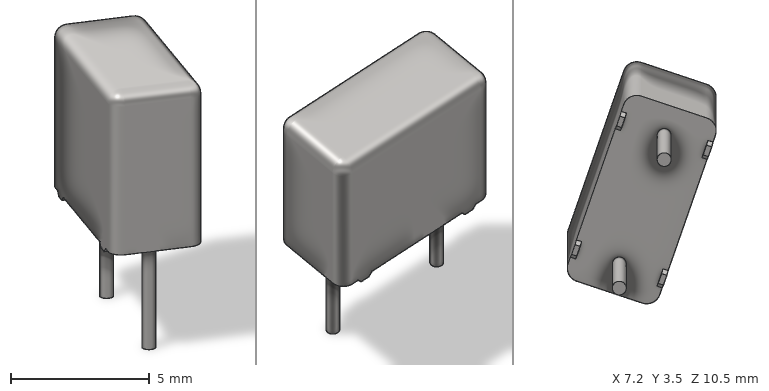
import cadquery as cq

total_height = 10.5
case_length = 7.2
case_width = 3.5
case_height = 6.3
edge_radius = 0.5
lead_diameter = 0.5
lead_pitch = 5.0
foot_top_length = 0.67
foot_bottom_length = 0.38
foot_height = 0.18
foot_depth = 0.2

lead_length = total_height - case_height
lead_positions = [-lead_pitch / 2, lead_pitch / 2]


def make_foot(x, side):
    """Tapered standoff foot, flush with the -Y (side = -1) or +Y (side = 1) face of the case."""
    outer_y = side * case_width / 2
    return (
        cq.Workplane("XZ", origin=(x, outer_y, 0))
        .moveTo(-foot_top_length / 2, 0)
        .lineTo(foot_top_length / 2, 0)
        .lineTo(foot_bottom_length / 2, -foot_height)
        .lineTo(-foot_bottom_length / 2, -foot_height)
        .close()
        .extrude(side * foot_depth)
    )


def make_case():
    """Block with rounded upright and top edges, standing on four small feet."""
    case = (
        cq.Workplane("XY")
        .box(case_length, case_width, case_height, centered=(True, True, False))
        .edges("|Z or >Z")
        .fillet(edge_radius)
    )
    for x in lead_positions:
        for side in (-1, 1):
            case = case.union(make_foot(x, side), clean=False)
    return case.solids()


def make_lead(x):
    """Round wire hanging from the underside of the case."""
    return (
        cq.Workplane("XY", origin=(x, 0, 0))
        .circle(lead_diameter / 2)
        .extrude(-lead_length)
    )


case = make_case()
leads = [make_lead(x) for x in lead_positions]

result = cq.Compound.makeCompound([case.val(), *[lead.val() for lead in leads]])